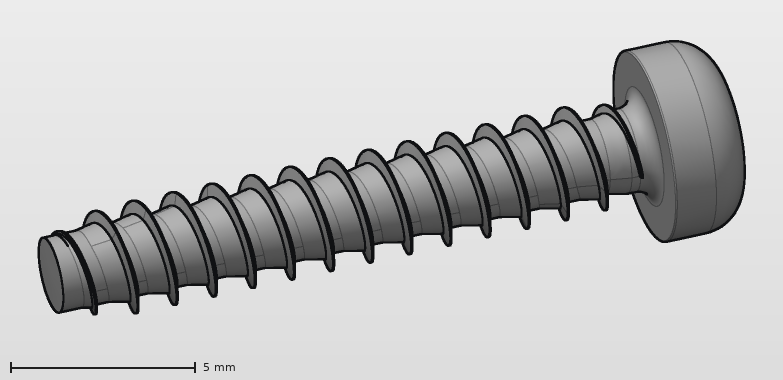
import cadquery as cq
import math

LENGTH = 19.3

HEAD_DIAMETER = 5.3
HEAD_HEIGHT = 2.3
HEAD_ROUND = 1.14
RIM_ROUND = 0.04
NECK_FILLET = 0.5

SHANK_RADIUS = 1.15
SHANK_DEPTH = 0.75
SHANK_TAPER = 0.58
CORE_RADIUS = 1.05
TIP_CONE_HEIGHT = 0.02

PITCH = 1.12
CREST_RADIUS = 1.5
CREST_WIDTH = 0.04
HEAD_FLANK_SLOPE = 0.3
TIP_FLANK_SLOPE = 0.25
RELIEF_HEIGHT = 0.12
RELIEF_LENGTH = 0.77
ROOT_OVERLAP = 0.04

FIRST_CREST_DEPTH = 0.48
RUN_IN_TURNS = 1.0
RUN_OUT_TURNS = 1.4
THREAD_TURNS = 14.6
START_GROWTH = 0.45
END_GROWTH = 0.02
POINTS_PER_TURN = 16
LONGEST_SPAN = 1.0

SCREW_DEPTH = LENGTH - HEAD_HEIGHT
HEAD_RADIUS = HEAD_DIAMETER / 2


def make_blank():
    """Head, filleted neck, shank, core and tip, turned about the Y axis."""
    diagonal = math.sqrt(0.5)
    top_flat = HEAD_RADIUS - HEAD_ROUND
    round_start = HEAD_HEIGHT - HEAD_ROUND
    rim_mid = RIM_ROUND * (1 - diagonal)
    fillet_edge = SHANK_RADIUS + NECK_FILLET
    fillet_mid = NECK_FILLET * (1 - diagonal)
    tip_edge = -SCREW_DEPTH + TIP_CONE_HEIGHT
    return (
        cq.Workplane("XY")
        .moveTo(0, HEAD_HEIGHT)
        .lineTo(top_flat, HEAD_HEIGHT)
        .threePointArc(
            (top_flat + HEAD_ROUND * diagonal, round_start + HEAD_ROUND * diagonal),
            (HEAD_RADIUS, round_start),
        )
        .lineTo(HEAD_RADIUS, RIM_ROUND)
        .threePointArc((HEAD_RADIUS - rim_mid, rim_mid), (HEAD_RADIUS - RIM_ROUND, 0))
        .lineTo(fillet_edge, 0)
        .threePointArc((SHANK_RADIUS + fillet_mid, -fillet_mid), (SHANK_RADIUS, -NECK_FILLET))
        .lineTo(SHANK_RADIUS, -SHANK_DEPTH)
        .lineTo(CORE_RADIUS, -SHANK_DEPTH - SHANK_TAPER)
        .lineTo(CORE_RADIUS, tip_edge)
        .lineTo(0, -SCREW_DEPTH)
        .close()
        .revolve(360, (0, 0), (0, 1))
    )


def thread_section(turn):
    """Corners (radius, depth) of the thread profile after a number of turns."""
    run_in = START_GROWTH + (1 - START_GROWTH) * turn / RUN_IN_TURNS
    run_out = END_GROWTH + (1 - END_GROWTH) * (THREAD_TURNS - turn) / RUN_OUT_TURNS
    growth = min(1.0, run_in, run_out)
    crest = CORE_RADIUS + (CREST_RADIUS - CORE_RADIUS) * growth
    relief = CORE_RADIUS + RELIEF_HEIGHT * growth
    root = CORE_RADIUS - ROOT_OVERLAP
    middle = FIRST_CREST_DEPTH + PITCH * turn
    head_edge = middle - CREST_WIDTH / 2
    tip_edge = middle + CREST_WIDTH / 2
    relief_start = tip_edge + TIP_FLANK_SLOPE * (crest - relief)
    relief_end = relief_start + RELIEF_LENGTH * growth
    return [
        (root, head_edge - HEAD_FLANK_SLOPE * (crest - root)),
        (crest, head_edge),
        (crest, tip_edge),
        (relief, relief_start),
        (root, relief_end),
    ]


CORNERS = range(len(thread_section(0)))


def thread_point(turn, corner):
    """Point of one profile corner on its right-handed helix."""
    radius, depth = thread_section(turn)[corner]
    angle = 2 * math.pi * turn
    return cq.Vector(radius * math.cos(angle), -depth, radius * math.sin(angle))


def split_evenly(start, end, longest):
    """Values from start to end in equal steps no larger than longest."""
    steps = math.ceil((end - start) / longest)
    return [start + (end - start) * step / steps for step in range(steps + 1)]


def thread_cap(turn):
    """Flat face closing the ribbon at one end."""
    outline = [thread_point(turn, corner) for corner in CORNERS]
    return cq.Face.makeFromWires(cq.Wire.makePolygon(outline, close=True))


def thread_walls(start, end):
    """Helical faces of the ribbon over one span of turns."""
    turns = split_evenly(start, end, 1 / POINTS_PER_TURN)
    helices = [cq.Edge.makeSpline([thread_point(turn, corner) for turn in turns]) for corner in CORNERS]
    return [cq.Face.makeRuledSurface(helices[corner - 1], helices[corner]) for corner in CORNERS]


def make_thread():
    """Helical ribbon: thread and relieved core, fading out at both ends."""
    run_out_start = THREAD_TURNS - RUN_OUT_TURNS
    stages = [(0, RUN_IN_TURNS), (RUN_IN_TURNS, run_out_start), (run_out_start, THREAD_TURNS)]
    faces = [thread_cap(0), thread_cap(THREAD_TURNS)]
    for stage_start, stage_end in stages:
        joints = split_evenly(stage_start, stage_end, LONGEST_SPAN)
        for start, end in zip(joints, joints[1:]):
            faces += thread_walls(start, end)
    return cq.Solid.makeSolid(cq.Shell.makeShell(faces))


result = make_blank().union(cq.Workplane(obj=make_thread()))